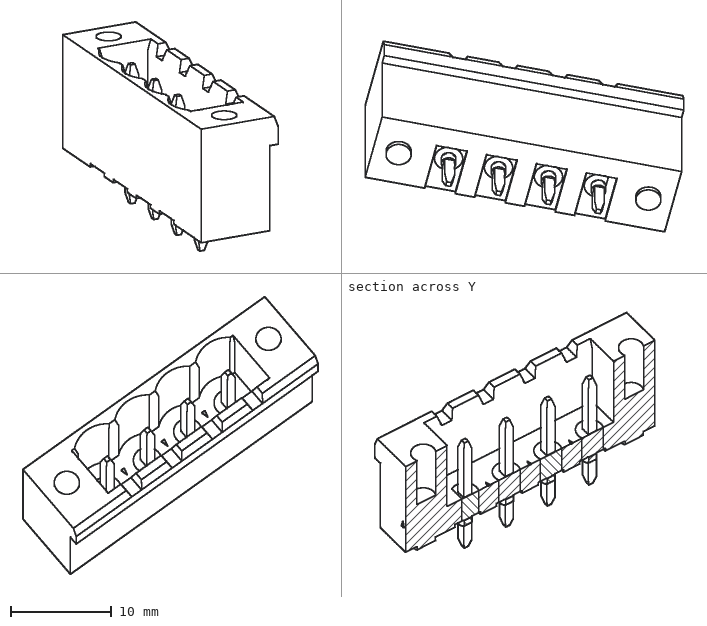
import cadquery as cq


POLE_COUNT = 4
PITCH = 5.08
POLE_X = [(i - (POLE_COUNT - 1) / 2) * PITCH for i in range(POLE_COUNT)]

HOUSING_LENGTH = 30.48
HOUSING_HEIGHT = 12.0
FRONT_Y = -3.85
BODY_REAR_Y = 3.8
LIP_REAR_Y = 4.75
LIP_UNDERSIDE_Z = 9.0
RIM_BEVEL_HEIGHT = 1.2
LIP_BEVEL_DEPTH = 0.45

CAVITY_LENGTH = POLE_COUNT * PITCH
CAVITY_FLOOR_Z = 3.5
CAVITY_REAR_Y = 3.05
CAVITY_FRONT_Y = -2.2
REAR_BEVEL_DEPTH = 0.37
FRONT_BEVEL_DEPTH = 0.27
SCALLOP_RADIUS = 2.93
SCALLOP_MOUTH_RADIUS = 3.3
RIM_Z = HOUSING_HEIGHT - RIM_BEVEL_HEIGHT

NOTCH_FLOOR_WIDTH = 1.22
NOTCH_TOP_WIDTH = 1.92

FLANGE_X = (POLE_COUNT + 1) / 2 * PITCH
FLANGE_DIAMETER = 2.5
FLANGE_HOLE_DEPTH = 6.1
STANDOFF_HEIGHT = 0.5

SLOT_WIDTH = 3.1
SLOT_HEIGHT = 0.37

MARK_WIDTH = 0.4
MARK_LENGTH = 0.75
MARK_DEPTH = 0.05
SIDE_MARK_BASE_Z = 3.17

PIN_WIDTH = 1.0
PIN_TIP_WIDTH = 0.5
PIN_TAPER = 1.0
PIN_TOP_Z = 10.8
PIN_BOTTOM_Z = -3.9
COLLAR_DIAMETER = 1.43

SLEEVE_DIAMETER = 2.8
SLEEVE_FLAT_X = 0.73


def block(x_range, y_range, z_range):
    """A box given by its limits along each axis."""
    (x0, x1), (y0, y1), (z0, z1) = x_range, y_range, z_range
    return cq.Workplane("XY").box(x1 - x0, y1 - y0, z1 - z0, centered=False).translate((x0, y0, z0))


def profile_along_x(points, length):
    """A (y, z) outline extruded along X, centred on x = 0."""
    return cq.Workplane("YZ").polyline(points).close().extrude(length / 2, both=True)


def make_blank():
    """The solid housing: its end outline, run along the whole length."""
    outline = [
        (FRONT_Y, 0),
        (BODY_REAR_Y, 0),
        (BODY_REAR_Y, LIP_UNDERSIDE_Z),
        (LIP_REAR_Y, LIP_UNDERSIDE_Z),
        (LIP_REAR_Y, RIM_Z),
        (LIP_REAR_Y - LIP_BEVEL_DEPTH, HOUSING_HEIGHT),
        (FRONT_Y, HOUSING_HEIGHT),
    ]
    return profile_along_x(outline, HOUSING_LENGTH)


def scallop_cutter(x):
    """A round bay that widens conically at the mouth."""
    shaft = (
        cq.Workplane("XY", origin=(x, 0, CAVITY_FLOOR_Z))
        .circle(SCALLOP_RADIUS)
        .extrude(HOUSING_HEIGHT - CAVITY_FLOOR_Z)
    )
    mouth = (
        cq.Workplane("XY", origin=(x, 0, RIM_Z))
        .circle(SCALLOP_RADIUS)
        .workplane(offset=RIM_BEVEL_HEIGHT)
        .circle(SCALLOP_MOUTH_RADIUS)
        .loft()
    )
    front_half = block(
        (-CAVITY_LENGTH / 2, CAVITY_LENGTH / 2), (FRONT_Y, 0), (CAVITY_FLOOR_Z, HOUSING_HEIGHT)
    )
    return shaft.union(mouth).intersect(front_half)


def cavity_cutter():
    """The plug cavity: bevelled at the mouth, with a scalloped front wall."""
    outline = [
        (CAVITY_FRONT_Y, CAVITY_FLOOR_Z),
        (CAVITY_REAR_Y, CAVITY_FLOOR_Z),
        (CAVITY_REAR_Y, RIM_Z),
        (CAVITY_REAR_Y + REAR_BEVEL_DEPTH, HOUSING_HEIGHT),
        (CAVITY_FRONT_Y - FRONT_BEVEL_DEPTH, HOUSING_HEIGHT),
        (CAVITY_FRONT_Y, RIM_Z),
    ]
    cutter = profile_along_x(outline, CAVITY_LENGTH)
    for x in POLE_X:
        cutter = cutter.union(scallop_cutter(x))
    return cutter


def notch_cutter(x):
    """A notch with sloping sides across the rear rim."""
    return (
        cq.Workplane("XZ", origin=(x, LIP_REAR_Y, 0))
        .polyline([
            (-NOTCH_FLOOR_WIDTH / 2, RIM_Z),
            (NOTCH_FLOOR_WIDTH / 2, RIM_Z),
            (NOTCH_TOP_WIDTH / 2, HOUSING_HEIGHT),
            (-NOTCH_TOP_WIDTH / 2, HOUSING_HEIGHT),
        ])
        .close()
        .extrude(LIP_REAR_Y)
    )


def slot_cutter(x):
    """A shallow slot in the underside, from the front face to just past the pin."""
    half = SLOT_WIDTH / 2
    return block((x - half, x + half), (FRONT_Y, half), (0, SLOT_HEIGHT))


def mark_cutter(plane):
    """An arrowhead sunk into the face that the plane lies on, with its base at the plane's origin."""
    half = MARK_WIDTH / 2
    arrowhead = cq.Workplane(plane).polyline([(-half, 0), (half, 0), (0, MARK_LENGTH)]).close()
    return arrowhead.extrude(-MARK_DEPTH)


def mark_planes():
    """The planes of all the marks: those on the cavity floor, then the one on the end face."""
    floor_planes = [
        cq.Plane(origin=(x + PITCH / 2, -MARK_LENGTH, CAVITY_FLOOR_Z), xDir=(1, 0, 0), normal=(0, 0, 1))
        for x in POLE_X[:-1]
    ]
    end_plane = cq.Plane(
        origin=(-HOUSING_LENGTH / 2, 0, SIDE_MARK_BASE_Z), xDir=(0, -1, 0), normal=(-1, 0, 0)
    )
    return [*floor_planes, end_plane]


def sleeve_blank(index):
    """The outside of one sleeve; the first has a flat that marks pole one."""
    x = POLE_X[index]
    blank = (
        cq.Workplane("XY", origin=(x, 0, SLOT_HEIGHT))
        .circle(SLEEVE_DIAMETER / 2)
        .extrude(CAVITY_FLOOR_Z - SLOT_HEIGHT)
    )
    if index == 0:
        beyond_flat = block(
            (x - SLEEVE_DIAMETER, x - SLEEVE_FLAT_X),
            (-SLEEVE_DIAMETER, SLEEVE_DIAMETER),
            (SLOT_HEIGHT, CAVITY_FLOOR_Z),
        )
        blank = blank.cut(beyond_flat)
    return blank


def make_housing():
    housing = make_blank().cut(cavity_cutter())
    for index, x in enumerate(POLE_X):
        housing = housing.cut(notch_cutter(x)).cut(slot_cutter(x)).cut(sleeve_blank(index))
    for plane in mark_planes():
        housing = housing.cut(mark_cutter(plane))
    for x in (-FLANGE_X, FLANGE_X):
        hole_floor = cq.Workplane("XY", origin=(x, 0, HOUSING_HEIGHT - FLANGE_HOLE_DEPTH))
        housing = housing.cut(hole_floor.circle(FLANGE_DIAMETER / 2).extrude(FLANGE_HOLE_DEPTH))
        underside = cq.Workplane("XY", origin=(x, 0, 0))
        housing = housing.union(underside.circle(FLANGE_DIAMETER / 2).extrude(-STANDOFF_HEIGHT))
    return housing


def make_pin(x):
    """A square pin, tapered at both ends, with a round collar below the sleeve."""
    shank_bottom_z = PIN_BOTTOM_Z + PIN_TAPER
    shank_top_z = PIN_TOP_Z - PIN_TAPER
    shank = (
        cq.Workplane("XY", origin=(x, 0, shank_bottom_z))
        .rect(PIN_WIDTH, PIN_WIDTH)
        .extrude(shank_top_z - shank_bottom_z)
    )
    collar = (
        cq.Workplane("XY", origin=(x, 0, -STANDOFF_HEIGHT))
        .circle(COLLAR_DIAMETER / 2)
        .extrude(STANDOFF_HEIGHT + SLOT_HEIGHT)
    )
    pin = shank.union(collar)
    for start_z, taper in ((shank_top_z, PIN_TAPER), (shank_bottom_z, -PIN_TAPER)):
        tip = (
            cq.Workplane("XY", origin=(x, 0, start_z))
            .rect(PIN_WIDTH, PIN_WIDTH)
            .workplane(offset=taper)
            .rect(PIN_TIP_WIDTH, PIN_TIP_WIDTH)
            .loft()
        )
        pin = pin.union(tip)
    return pin


housing = make_housing()
pins = [make_pin(x) for x in POLE_X]
sleeves = [sleeve_blank(index).cut(pin) for index, pin in enumerate(pins)]

result = cq.Compound.makeCompound([
    housing.val(),
    *[pin.val() for pin in pins],
    *[sleeve.val() for sleeve in sleeves],
])